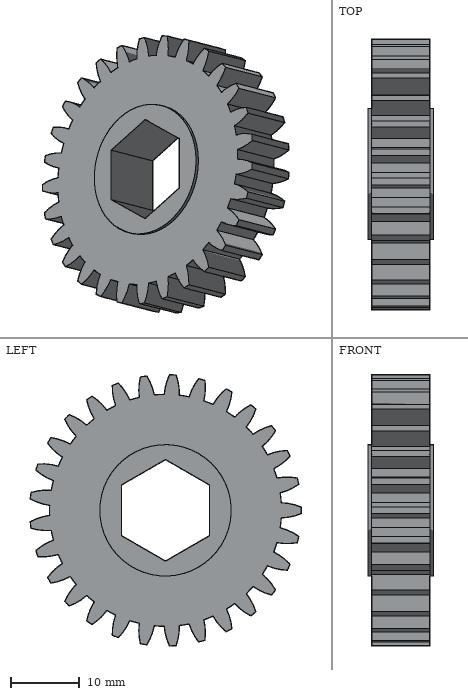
import cadquery as cq
import math

tooth_count = 29
pitch_angle = 2 * math.pi / tooth_count
overall_height = 39.35
tip_half_angle = math.radians(1.4)
root_half_angle = math.radians(3.8)
flank_half_angle = math.radians(2.95)

top_tooth_lean = math.pi / 2 - (tooth_count // 4) * pitch_angle
outer_radius = overall_height / 2 / math.cos(top_tooth_lean - tip_half_angle)

module = 2 * outer_radius / (tooth_count + 2)
dedendum = 1.25 * module
root_radius = outer_radius - module - dedendum
flank_radius = (outer_radius + root_radius) / 2

face_width = 8.42
overall_width = 9.52
hub_diameter = 19.05
hex_across_flats = 12.7
hex_across_corners = hex_across_flats / math.cos(math.pi / 6)


def polar(radius, angle):
    """Point in the YZ plane, with the angle measured from +Y towards +Z."""
    return (radius * math.cos(angle), radius * math.sin(angle))


def workplane_at_end(width):
    """YZ plane on the -X end of a centred feature of the given width."""
    return cq.Workplane("YZ").workplane(offset=-width / 2)


def add_tooth(outline, centre):
    """Extend the outline over one tooth and along the root gap that follows it."""
    next_foot = centre + pitch_angle - root_half_angle
    return (
        outline
        .threePointArc(
            polar(flank_radius, centre - flank_half_angle),
            polar(outer_radius, centre - tip_half_angle),
        )
        .threePointArc(polar(outer_radius, centre), polar(outer_radius, centre + tip_half_angle))
        .threePointArc(
            polar(flank_radius, centre + flank_half_angle),
            polar(root_radius, centre + root_half_angle),
        )
        .threePointArc(polar(root_radius, centre + pitch_angle / 2), polar(root_radius, next_foot))
    )


def make_toothed_disc():
    """Spur gear disc centred on the origin, with arc-shaped tooth flanks."""
    first_centre = math.pi
    outline = workplane_at_end(face_width).moveTo(*polar(root_radius, first_centre - root_half_angle))
    for tooth in range(tooth_count):
        outline = add_tooth(outline, first_centre + tooth * pitch_angle)
    return outline.close().extrude(face_width)


def make_hub():
    """Round hub standing slightly proud of both gear faces."""
    return workplane_at_end(overall_width).circle(hub_diameter / 2).extrude(overall_width)


def make_hex_bore():
    """Through hexagon with corners on +Z and -Z and flats facing +Y and -Y."""
    return (
        workplane_at_end(overall_width)
        .transformed(rotate=(0, 0, 30))
        .polygon(6, hex_across_corners)
        .extrude(overall_width)
    )


result = make_toothed_disc().union(make_hub()).cut(make_hex_bore())